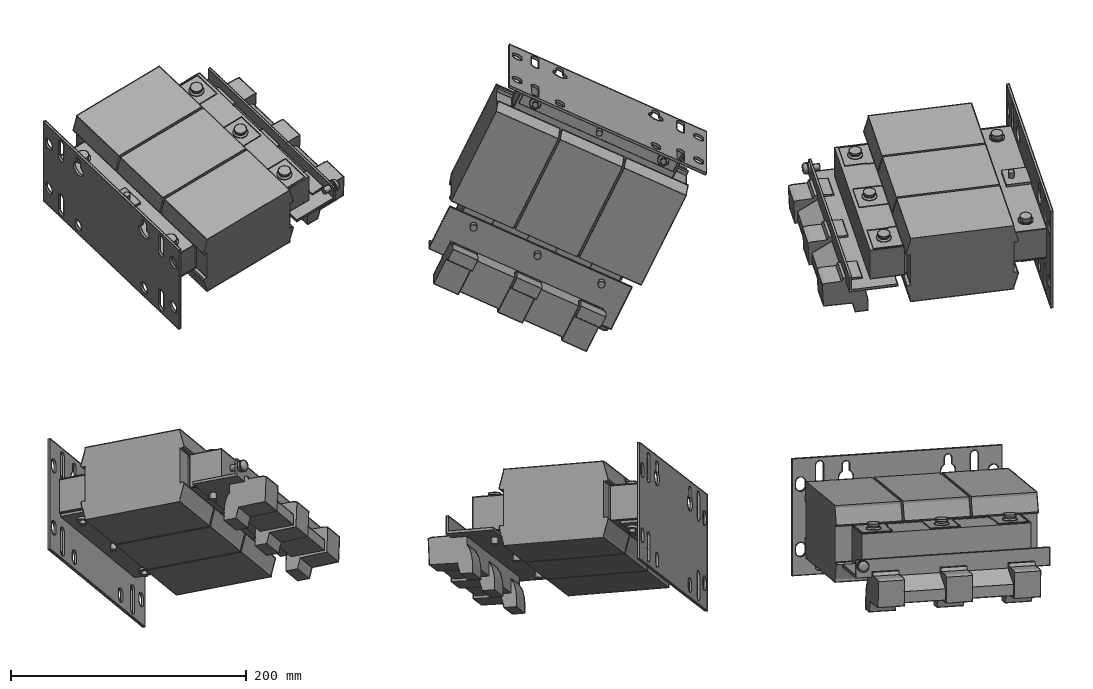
import cadquery as cq


PLATE_WIDTH = 185.0
PLATE_HEIGHT = 102.0
PLATE_THICKNESS = 2.2

LONG_SLOT_X = 68.3
LONG_SLOT_Z = 34.8
LONG_SLOT_LENGTH = 26.2
LONG_SLOT_WIDTH = 7.2
SIDE_SLOT_X = 85.0
SIDE_SLOT_Z = 28.5
SIDE_SLOT_LENGTH = 12.5
SIDE_SLOT_WIDTH = 9.0
KEYHOLE_X = 45.0
KEYHOLE_Z = 31.7
KEYHOLE_DIAMETER = 13.3
KEYHOLE_NECK_WIDTH = 6.7
KEYHOLE_TOP = 46.4
LOWER_SLOT_Z = -40.1
LOWER_SLOT_WIDTH = 8.5

CORE_Z = 4.7
CORE_WIDTH = 149.5
CORE_HEIGHT = 30.1
FRONT_YOKE_END = 31.9
REAR_YOKE_START = 125.0
REAR_YOKE_END = 155.0
SHEET_THICKNESS = 0.5
YOKE_INSET = 0.4
SPACER_INSET = 1.2

COIL_PITCH = 60.0
COIL_WIDTH = 58.1
COIL_HEIGHT = 66.9
COIL_START = 33.3
COIL_END = 122.8
HOOD_OVERHANG = 4.0
HOOD_LIP = 2.3
HOOD_EDGE_HEIGHT = 34.5
HOOD_UNDERCUT = 1.0
HOOD_OPENING = 31.7

TAB_WIDTH = 26.6
TAB_END = 151.8
TAB_ROOT_END = 133.0
TAB_ROOT_EXTRA = 0.8

UPPER_BRACKET_WIDTH = 21.1
LOWER_BRACKET_WIDTH = 144.8
BRACKET_END = 23.7
BRACKET_THICKNESS = 2.3

FRONT_BOLT_Y = 17.2
REAR_BOLT_Y = 140.0
WASHER_DIAMETER = 12.7
WASHER_HEIGHT = 0.8
NUT_DIAMETER = 9.8
HEAD_TOP = 25.2
BOLT_BOTTOM = -19.0
HEAD_DIAMETER = 10.5
HEAD_NECK_DIAMETER = 9.4
HEAD_FLARE_START = 0.4
HEAD_FLARE_END = 1.5
HEAD_RIM = 1.8
REAR_BOLT_DIAMETER = 5.9
FRONT_BOLT_DIAMETER = 5.0
FRONT_STUD_TOP = 28.2
LOWER_NUT_HEIGHT = 2.3

RAIL_WIDTH = 171.0
RAIL_START = 133.2
RAIL_END = 175.0
RAIL_THICKNESS = 2.3
RAIL_WALL = 2.0
RAIL_TOP = 2.3

TERMINAL_PITCH = COIL_PITCH
TERMINAL_WIDTH = 23.0
BLOCK_REAR = 195.6
BLOCK_SPAN_REAR = 192.3
BLOCK_SPAN_BOTTOM = -33.3
BLOCK_SPAN_SLOPE_BOTTOM = -23.5
BLOCK_FRONT = 161.0
BLOCK_BOTTOM = -45.5
BLOCK_TOP = -11.5
BLOCK_REAR_EDGE = -12.5
BLOCK_REAR_TAPER = 1.0
BODY_BOTTOM = -36.0
BODY_BOTTOM_RISE = 0.5
RIDGE_REAR = 179.2
RIDGE_SLOPE = 1.5
RIDGE_FRONT = 172.1
RIDGE_TOP = -8.6
RIDGE_TOE = -9.5
BULGE_START = -20.3
BULGE_Y = 158.0
BULGE_Z = -25.5
FOOT_SHOULDER_Y = 156.5
FOOT_SHOULDER_Z = -31.9
FOOT_FRONT = 156.1
FOOT_REAR = 167.0
FOOT_TAPER = 2.5

SCREW_X = 80.0
SCREW_Z = -2.7
SCREW_DIAMETER = 5.7
SCREW_TIP = 166.9
SCREW_WASHER_DIAMETER = 9.8
SCREW_WASHER_END = 176.8
SCREW_GROOVE_END = 177.6
SCREW_GROOVE_DIAMETER = 8.6
SCREW_HEAD_END = 181.3
SCREW_HEAD_DIAMETER = 9.8
SCREW_HEAD_ROUNDING = 2.7

CORE_TOP = CORE_Z + CORE_HEIGHT / 2
CORE_BOTTOM = CORE_Z - CORE_HEIGHT / 2
STACK_TOP = CORE_TOP + SHEET_THICKNESS
STACK_BOTTOM = CORE_BOTTOM - SHEET_THICKNESS
PHASES = (-1, 0, 1)
SIDES = (-1, 1)


def block(width, y_range, z_range, x=0.0):
    """Box centred on x, spanning the given Y and Z ranges."""
    y_start, y_end = y_range
    z_start, z_end = z_range
    corner = (x - width / 2, y_start, z_start)
    return cq.Workplane("XY").box(width, y_end - y_start, z_end - z_start, centered=False).translate(corner)


def extruded_profile(points, width, x=0.0):
    """Closed (Y, Z) outline extruded along X, centred on x."""
    return cq.Workplane("YZ").polyline(points).close().extrude(width / 2, both=True).translate((x, 0, 0))


def upright(diameter, x, y, z_start, z_end):
    """Vertical cylinder between two heights."""
    return cq.Workplane("XY", origin=(x, y, z_start)).circle(diameter / 2).extrude(z_end - z_start)


def fuse(shapes):
    """Union of a list of shapes."""
    body = shapes[0]
    for shape in shapes[1:]:
        body = body.union(shape)
    return body


def plate_slot(x, z, length, width):
    """Cutter for an upright slot through the mounting plate."""
    outline = cq.Workplane("XZ").center(x, z).slot2D(length, width, 90)
    return outline.extrude(-PLATE_THICKNESS)


def mounting_plate():
    plate = block(PLATE_WIDTH, (0, PLATE_THICKNESS), (-PLATE_HEIGHT / 2, PLATE_HEIGHT / 2))
    neck_length = KEYHOLE_TOP - KEYHOLE_Z + KEYHOLE_NECK_WIDTH / 2
    neck_z = KEYHOLE_TOP - neck_length / 2
    for side in SIDES:
        long_x = side * LONG_SLOT_X
        outer_x = side * SIDE_SLOT_X
        for level in SIDES:
            plate = plate.cut(plate_slot(long_x, level * LONG_SLOT_Z, LONG_SLOT_LENGTH, LONG_SLOT_WIDTH))
            plate = plate.cut(plate_slot(outer_x, level * SIDE_SLOT_Z, SIDE_SLOT_LENGTH, SIDE_SLOT_WIDTH))
        keyhole_x = side * KEYHOLE_X
        keyhole = cq.Workplane("XZ").center(keyhole_x, KEYHOLE_Z).circle(KEYHOLE_DIAMETER / 2)
        plate = plate.cut(keyhole.extrude(-PLATE_THICKNESS))
        plate = plate.cut(plate_slot(keyhole_x, neck_z, neck_length, KEYHOLE_NECK_WIDTH))
        plate = plate.cut(plate_slot(keyhole_x, LOWER_SLOT_Z, SIDE_SLOT_LENGTH, LOWER_SLOT_WIDTH))
    return plate


def core():
    """Two yokes, the sheet wrapped around the front yoke and the spacer behind the coils."""
    core_z = (CORE_BOTTOM, CORE_TOP)
    front_yoke_y = (PLATE_THICKNESS, FRONT_YOKE_END)
    front_yoke = block(CORE_WIDTH - 2 * YOKE_INSET, front_yoke_y, core_z)
    rear_yoke = block(CORE_WIDTH, (REAR_YOKE_START, REAR_YOKE_END), core_z)
    sheets = block(CORE_WIDTH, (PLATE_THICKNESS, COIL_START), (STACK_BOTTOM, STACK_TOP))
    sheets = sheets.cut(block(CORE_WIDTH, front_yoke_y, core_z))
    spacer_width = CORE_WIDTH - 2 * SPACER_INSET
    spacer_z = (CORE_BOTTOM + SPACER_INSET, CORE_TOP - SPACER_INSET)
    rear_spacer = block(spacer_width, (COIL_END, REAR_YOKE_START), spacer_z)
    return fuse([front_yoke, rear_yoke, sheets, rear_spacer])


def coil(x):
    """Coil block with sloping hoods above and below the core at both ends."""
    hood_start = COIL_START - HOOD_OVERHANG
    hood_end = COIL_END + HOOD_OVERHANG
    half_edge = HOOD_EDGE_HEIGHT / 2
    half_opening = HOOD_OPENING / 2
    half_lip = COIL_HEIGHT / 2 - HOOD_LIP
    half_height = COIL_HEIGHT / 2
    upper_half = [
        (hood_start + HOOD_UNDERCUT, half_opening),
        (hood_start, half_edge),
        (COIL_START, half_lip),
        (COIL_START, half_height),
        (COIL_END, half_height),
        (COIL_END, half_lip),
        (hood_end, half_edge),
        (hood_end - HOOD_UNDERCUT, half_opening),
    ]
    lower_half = [(y, -z) for y, z in reversed(upper_half)]
    outline = [(y, CORE_Z + z) for y, z in upper_half + lower_half]
    body = extruded_profile(outline, COIL_WIDTH, x)
    opening_z = (CORE_Z - half_opening, CORE_Z + half_opening)
    for y_range in ((hood_start, COIL_START), (COIL_END, hood_end)):
        body = body.cut(block(COIL_WIDTH, y_range, opening_z, x))
    return body


def retaining_tabs(phase):
    """Thin tabs over and under the rear yoke; the outer ones widen inward at the root."""
    x = phase * COIL_PITCH
    root_x = x - phase * TAB_ROOT_EXTRA / 2
    root_width = TAB_WIDTH + abs(phase) * TAB_ROOT_EXTRA
    tab_z = (STACK_BOTTOM, STACK_TOP)
    tab = block(TAB_WIDTH, (COIL_END, TAB_END), tab_z, x)
    root = block(root_width, (COIL_END, TAB_ROOT_END), tab_z, root_x)
    return tab.union(root)


def plate_brackets():
    """Narrow lug above the front yoke and wide flange below it."""
    y_range = (PLATE_THICKNESS, BRACKET_END)
    upper = block(UPPER_BRACKET_WIDTH, y_range, (STACK_TOP, STACK_TOP + BRACKET_THICKNESS))
    lower = block(LOWER_BRACKET_WIDTH, y_range, (STACK_BOTTOM - BRACKET_THICKNESS, STACK_BOTTOM))
    return upper.union(lower)


def rear_bolt(x):
    """Bolt clamping the rear yoke and the rail; its waisted head flares to a washer rim."""
    half_section = [
        (0, CORE_TOP),
        (WASHER_DIAMETER / 2, CORE_TOP),
        (WASHER_DIAMETER / 2, STACK_TOP + HEAD_FLARE_START),
        (HEAD_NECK_DIAMETER / 2, STACK_TOP + HEAD_FLARE_END),
        (HEAD_DIAMETER / 2, HEAD_TOP - HEAD_RIM),
        (HEAD_DIAMETER / 2, HEAD_TOP),
        (0, HEAD_TOP),
    ]
    head = cq.Workplane("XZ").polyline(half_section).close().revolve(360, (0, 0), (0, 1))
    shank = upright(REAR_BOLT_DIAMETER, x, REAR_BOLT_Y, BOLT_BOTTOM, CORE_TOP)
    return shank.union(head.translate((x, REAR_BOLT_Y, 0)))


def front_bolt(x):
    """Bolt through the front yoke with a washer and a nut."""
    lower_nut_start = STACK_BOTTOM - BRACKET_THICKNESS - LOWER_NUT_HEIGHT
    return fuse([
        upright(FRONT_BOLT_DIAMETER, x, FRONT_BOLT_Y, BOLT_BOTTOM, CORE_TOP),
        upright(NUT_DIAMETER, x, FRONT_BOLT_Y, lower_nut_start, CORE_BOTTOM),
        upright(WASHER_DIAMETER, x, FRONT_BOLT_Y, CORE_TOP, STACK_TOP + WASHER_HEIGHT),
        upright(NUT_DIAMETER, x, FRONT_BOLT_Y, STACK_TOP, HEAD_TOP),
    ])


def bracket_stud():
    """Stud that holds the brackets at the middle of the front yoke."""
    return upright(FRONT_BOLT_DIAMETER, 0, FRONT_BOLT_Y, BOLT_BOTTOM, FRONT_STUD_TOP)


def terminal_rail():
    rail_bottom = STACK_BOTTOM - RAIL_THICKNESS
    outline = [
        (RAIL_START, rail_bottom),
        (RAIL_END, rail_bottom),
        (RAIL_END, RAIL_TOP),
        (RAIL_END - RAIL_WALL, RAIL_TOP),
        (RAIL_END - RAIL_WALL, STACK_BOTTOM),
        (RAIL_START, STACK_BOTTOM),
    ]
    return extruded_profile(outline, RAIL_WIDTH)


def terminal(x):
    """One terminal: a body behind and below the rail with a foot at the front."""
    outline = [
        (BLOCK_REAR, BLOCK_REAR_EDGE),
        (BLOCK_SPAN_REAR, BLOCK_TOP),
        (RIDGE_REAR, BLOCK_TOP),
        (RIDGE_REAR - RIDGE_SLOPE, RIDGE_TOP),
        (RIDGE_FRONT, RIDGE_TOP),
        (BLOCK_FRONT, RIDGE_TOE),
        (BLOCK_FRONT, BULGE_START),
        (BULGE_Y, BULGE_Z),
        (FOOT_SHOULDER_Y, FOOT_SHOULDER_Z),
        (FOOT_FRONT, BODY_BOTTOM),
        (FOOT_FRONT, BLOCK_BOTTOM),
        (FOOT_REAR, BLOCK_BOTTOM),
        (FOOT_REAR + FOOT_TAPER, BODY_BOTTOM),
        (BLOCK_REAR - BLOCK_REAR_TAPER, BODY_BOTTOM + BODY_BOTTOM_RISE),
    ]
    return extruded_profile(outline, TERMINAL_WIDTH, x)


def terminal_span():
    """Lower body with a sloping rear top that joins the three terminals."""
    span_top = STACK_BOTTOM - RAIL_THICKNESS
    outline = [
        (BLOCK_FRONT, span_top),
        (RAIL_END, span_top),
        (BLOCK_SPAN_REAR, BLOCK_SPAN_SLOPE_BOTTOM),
        (BLOCK_SPAN_REAR, BLOCK_SPAN_BOTTOM),
        (BLOCK_FRONT, BLOCK_SPAN_BOTTOM),
    ]
    return extruded_profile(outline, 2 * TERMINAL_PITCH)


def along_screw(diameter, y_start, y_end):
    """Cylinder on the earth screw axis between two Y positions."""
    disc = cq.Workplane("XZ", origin=(SCREW_X, y_start, SCREW_Z)).circle(diameter / 2)
    return disc.extrude(y_start - y_end)


def earth_screw():
    head = along_screw(SCREW_HEAD_DIAMETER, SCREW_GROOVE_END, SCREW_HEAD_END)
    return fuse([
        along_screw(SCREW_DIAMETER, SCREW_TIP, RAIL_END),
        along_screw(SCREW_WASHER_DIAMETER, RAIL_END, SCREW_WASHER_END),
        along_screw(SCREW_GROOVE_DIAMETER, SCREW_WASHER_END, SCREW_GROOVE_END),
        head.faces(">Y").edges().fillet(SCREW_HEAD_ROUNDING),
    ])


parts = [
    mounting_plate(),
    core(),
    plate_brackets(),
    bracket_stud(),
    terminal_rail(),
    terminal_span(),
    earth_screw(),
]
for phase in PHASES:
    parts.append(coil(phase * COIL_PITCH))
    parts.append(retaining_tabs(phase))
    parts.append(rear_bolt(phase * COIL_PITCH))
    parts.append(terminal(phase * TERMINAL_PITCH))
for side in SIDES:
    parts.append(front_bolt(side * COIL_PITCH))

result = cq.Workplane("XY").newObject([fuse(parts).val()])